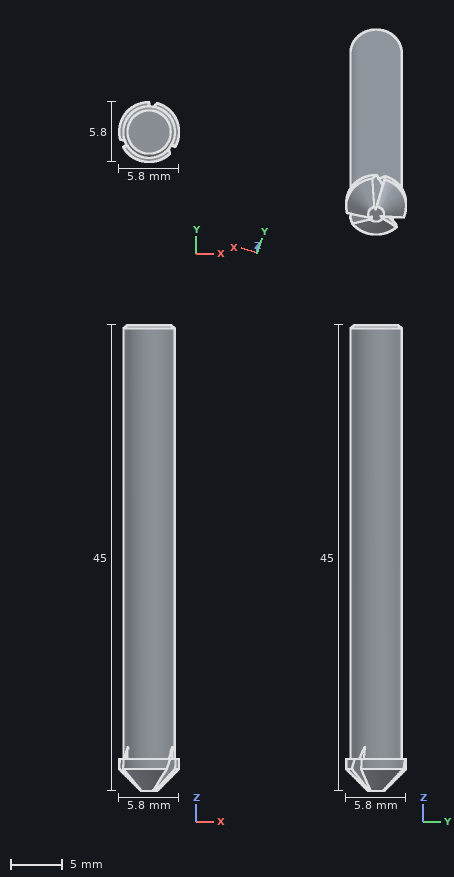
import cadquery as cq

total_length = 45.0

shank_diameter = 5.0
shank_radius = shank_diameter / 2
bevel_width = 0.4
bevel_height = 0.3

head_radius = 5.8 / 2
tip_radius = 0.75
cone_height = head_radius - tip_radius
head_height = 3.1

flute_count = 3
first_flute_angle = 90.0
flute_runout_height = 4.28
flute_root_tip_radius = 0.45
flute_lean = 0.2
flute_depth = 2.7
flute_width = flute_depth
flute_overshoot = 0.45


def flute_root_radius(height):
    """Distance of the straight groove root from the axis at a given height."""
    slope = (shank_radius - flute_root_tip_radius) / flute_runout_height
    return flute_root_tip_radius + slope * height


def flute_root_offset(height):
    """Sideways offset of the leaning groove root at a given height."""
    return flute_lean * (2 * height / flute_runout_height - 1)


def flute_section(height):
    """Triangular groove section for a flute along +X, with its cutting face parallel to X."""
    root = flute_root_radius(height)
    outside = root + flute_depth
    face = flute_root_offset(height)
    corners = [(root, face), (outside, face), (outside, face - flute_width)]
    return cq.Wire.makePolygon([cq.Vector(x, y, height) for x, y in corners], close=True)


def make_flute(angle):
    bottom = flute_section(-flute_overshoot)
    top = flute_section(flute_runout_height + flute_overshoot)
    groove = cq.Solid.makeLoft([bottom, top], True)
    return cq.Workplane(groove).rotate((0, 0, 0), (0, 0, 1), angle)


def cut_flutes(body):
    for index in range(flute_count):
        body = body.cut(make_flute(first_flute_angle + index * 360 / flute_count))
    return body


def make_shank():
    profile = [
        (0, head_height),
        (shank_radius, head_height),
        (shank_radius, total_length - bevel_height),
        (shank_radius - bevel_width, total_length),
        (0, total_length),
    ]
    blank = cq.Workplane("XZ").polyline(profile).close().revolve(360, (0, 0), (0, 1))
    return cut_flutes(blank)


def make_head():
    profile = [
        (0, 0),
        (tip_radius, 0),
        (head_radius, cone_height),
        (head_radius, head_height),
        (0, head_height),
    ]
    blank = cq.Workplane("XZ").polyline(profile).close().revolve(360, (0, 0), (0, 1))
    return cut_flutes(blank)


shank = make_shank()
head = make_head()

result = cq.Compound.makeCompound([shank.val(), head.val()])